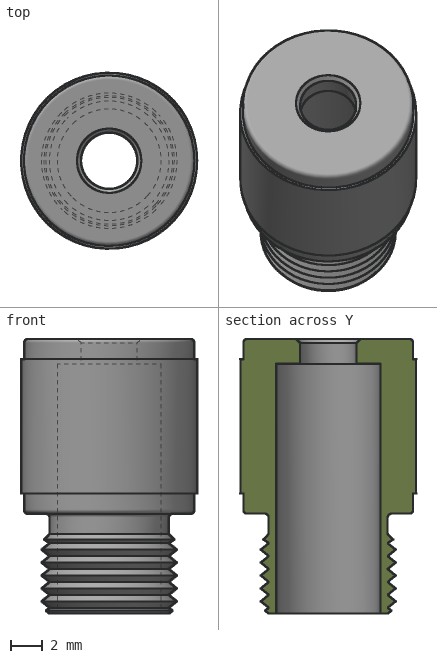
import cadquery as cq

height = 17.45
body_diameter = 11.19
end_band_diameter = 10.82
neck_diameter = 7.59
shoulder_z = 6.33
end_band_height = 1.3
edge_fillet = 0.26

crest_diameter = 8.6
pitch = 0.82
first_crest_z = 0.79
full_crest_count = 5
tip_crest_z = 0.2
tip_crest_diameter = 8.06
last_crest_z = 4.71
last_crest_diameter = 8.27
thread_top_z = 5.06
neck_fillet = 0.23

mouth_diameter = 3.56
mouth_chamfer = 0.26
mouth_depth = 1.59
bore_diameter = 6.6


def cylinder(diameter, bottom, top):
    return cq.Workplane("XY").workplane(offset=bottom).circle(diameter / 2).extrude(top - bottom)


def make_body():
    """Main barrel between two slightly smaller end bands with rounded rims."""
    core = cylinder(end_band_diameter, shoulder_z, height).edges().fillet(edge_fillet)
    barrel = cylinder(body_diameter, shoulder_z + end_band_height, height - end_band_height)
    return core.union(barrel)


def make_threaded_neck():
    """Revolved neck with full thread crests between two partial ones."""
    root_radius = neck_diameter / 2
    profile = cq.Workplane("XZ").lineTo(root_radius, 0).lineTo(tip_crest_diameter / 2, tip_crest_z)
    for index in range(full_crest_count):
        crest_z = first_crest_z + index * pitch
        profile = profile.lineTo(root_radius, crest_z - pitch / 2)
        profile = profile.lineTo(crest_diameter / 2, crest_z)
    last_root_z = first_crest_z + (full_crest_count - 0.5) * pitch
    overlap_z = shoulder_z + edge_fillet
    profile = (
        profile.lineTo(root_radius, last_root_z)
        .lineTo(last_crest_diameter / 2, last_crest_z)
        .lineTo(root_radius, thread_top_z)
        .lineTo(root_radius, shoulder_z - neck_fillet)
        .radiusArc((root_radius + neck_fillet, shoulder_z), neck_fillet)
        .lineTo(root_radius + neck_fillet, overlap_z)
        .lineTo(0, overlap_z)
        .close()
    )
    return profile.revolve(360, (0, 0, 0), (0, 1, 0))


def make_passage():
    """Through passage with a chamfered upper mouth."""
    bore = cylinder(bore_diameter, 0, height - mouth_depth)
    mouth = cylinder(mouth_diameter, 0, height)
    lead_in = (
        cq.Workplane("XY")
        .workplane(offset=height)
        .circle(mouth_diameter / 2 + mouth_chamfer)
        .workplane(offset=-mouth_chamfer)
        .circle(mouth_diameter / 2)
        .loft(ruled=True)
    )
    return bore.union(mouth).union(lead_in)


result = make_body().union(make_threaded_neck()).cut(make_passage())